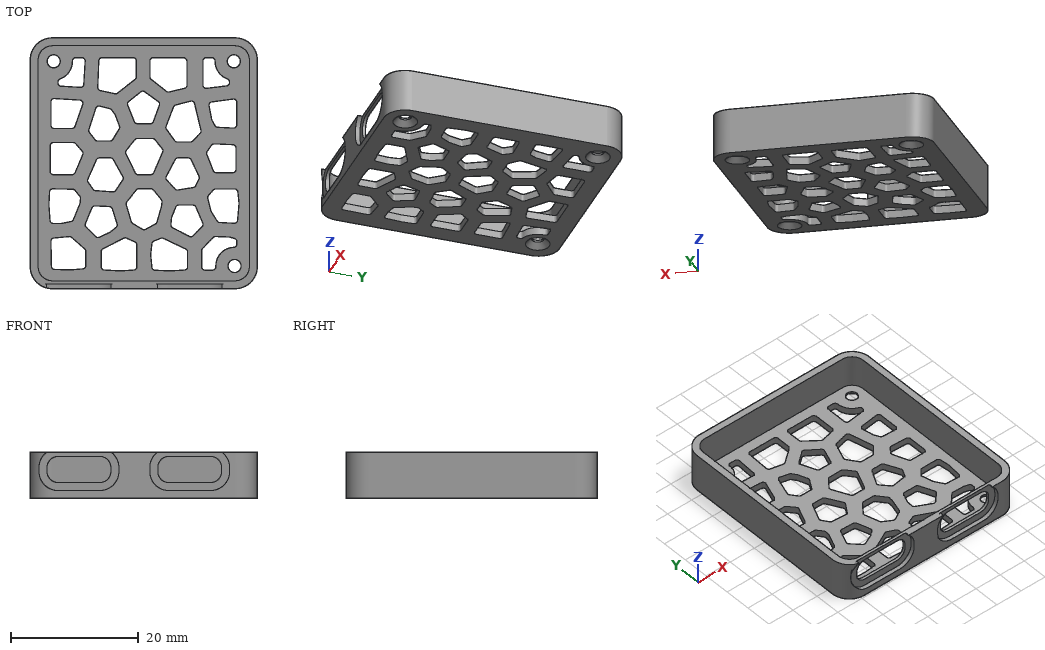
import cadquery as cq

WIDTH = 35.65
LENGTH = 39.4
HEIGHT = 7.25
WALL = 1.25
FLOOR = 1.25
CORNER_RADIUS = 3.5

SCREW_DIAMETER = 2.0
COUNTERSINK_DIAMETER = 3.85
COUNTERSINK_DEPTH = 0.95
SCREW_INSET = 3.7
FRONT_SCREW_INSET = 3.6
SCREW_CLEARANCE_RADIUS = 2.95
SCREW_CENTERS = [
    (-WIDTH / 2 + SCREW_INSET, LENGTH / 2 - SCREW_INSET),
    (WIDTH / 2 - SCREW_INSET, LENGTH / 2 - SCREW_INSET),
    (WIDTH / 2 - FRONT_SCREW_INSET, -LENGTH / 2 + FRONT_SCREW_INSET),
]

PORT_CENTERS_X = (-10.15, 7.2)
PORT_CENTER_Z = 4.55
SLOT_WIDTH = 10.0
SLOT_HEIGHT = 4.1
SLOT_RADIUS = 1.75
RECESS_MARGIN = 1.25
RECESS_DEPTH = 0.75

CELL_ROUNDING = 0.47
CELL_CORNERS = [
    [(-13.45, 16.55), (-9.18, 16.55), (-9.45, 11.9), (-13.45, 12.15)],
    [(-7.0, 16.55), (-1.2, 16.55), (-1.2, 13.3), (-4.3, 10.87), (-7.2, 11.5)],
    [(1.0, 16.55), (6.45, 16.55), (6.78, 16.1), (6.78, 11.85), (3.75, 11.15), (1.0, 13.3)],
    [(9.3, 16.55), (13.45, 16.55), (13.45, 12.2), (9.3, 11.7)],
    [(-14.55, 10.15), (-9.38, 9.85), (-10.9, 5.48), (-14.55, 5.48)],
    [
        (-7.35, 9.05), (-5.15, 8.5), (-4.5, 7.6), (-3.75, 5.6), (-5.0, 3.5),
        (-7.5, 3.5), (-8.65, 5.05),
    ],
    [(-0.15, 11.43), (2.55, 9.45), (1.38, 6.23), (-1.35, 6.23), (-2.65, 9.45)],
    [(4.75, 9.05), (7.85, 9.85), (9.02, 4.9), (7.53, 3.35), (5.0, 3.35), (3.43, 5.55)],
    [(10.15, 9.55), (14.58, 10.13), (14.58, 5.5), (11.3, 5.67), (10.68, 6.85)],
    [(-14.65, 3.25), (-10.85, 3.25), (-9.45, 1.65), (-10.9, -1.77), (-14.65, -1.77)],
    [(-1.25, 3.85), (1.6, 3.85), (3.07, 2.05), (1.4, -1.77), (-1.2, -1.77), (-2.9, 1.77)],
    [(10.8, 3.05), (14.45, 2.88), (14.45, -1.45), (11.05, -1.45), (9.8, 1.65)],
    [(-7.3, 0.83), (-4.92, 0.83), (-3.15, -2.35), (-4.57, -4.5), (-7.8, -4.25), (-8.85, -2.75)],
    [(5.1, 0.83), (7.3, 0.83), (8.75, -2.25), (8.05, -3.75), (5.1, -4.2), (3.4, -2.35)],
    [
        (-14.75, -4.0), (-10.9, -4.1), (-9.93, -5.3), (-10.0, -6.25), (-11.15, -9.05),
        (-12.85, -9.4), (-14.65, -9.4), (-14.85, -6.5),
    ],
    [
        (-1.02, -4.0), (1.38, -4.0), (2.88, -5.87), (2.75, -6.78), (2.0, -9.4),
        (0.05, -10.5), (-1.9, -9.35), (-2.8, -6.25),
    ],
    [
        (11.05, -4.05), (14.7, -4.05), (14.95, -6.25), (14.65, -9.4), (11.65, -9.25),
        (10.55, -7.53), (10.0, -5.25),
    ],
    [(-8.0, -6.7), (-5.05, -6.8), (-4.1, -9.85), (-5.28, -10.8), (-7.3, -11.75), (-9.25, -9.77)],
    [(5.15, -6.58), (8.05, -6.58), (9.38, -9.7), (7.5, -11.62), (4.25, -9.95), (4.37, -8.5)],
    [(-14.55, -11.8), (-11.45, -11.5), (-9.1, -13.6), (-9.1, -16.5), (-11.45, -16.7), (-14.45, -16.63)],
    [(-6.65, -13.55), (-2.9, -11.65), (-1.1, -12.5), (-1.1, -16.7), (-3.65, -16.85), (-6.65, -16.7)],
    [
        (1.35, -12.35), (2.88, -11.7), (6.85, -13.6), (6.85, -16.7), (4.15, -16.85),
        (1.35, -16.75), (1.1, -14.3),
    ],
    [(9.1, -13.5), (11.05, -11.5), (13.45, -11.6), (14.58, -11.9), (14.58, -16.75), (9.1, -16.75)],
]


def rounded_block(width, length, height, radius):
    """Upright block centered on the Z axis, standing on Z = 0."""
    return cq.Workplane("XY").rect(width, length).extrude(height).edges("|Z").fillet(radius)


def tray():
    """Open-topped box with concentric inner and outer corners."""
    outer = rounded_block(WIDTH, LENGTH, HEIGHT, CORNER_RADIUS)
    cavity = rounded_block(WIDTH - 2 * WALL, LENGTH - 2 * WALL, HEIGHT, CORNER_RADIUS - WALL)
    return outer.cut(cavity.translate((0, 0, FLOOR)))


def port_cutter(center_x, margin, depth):
    """Rounded slot grown by a margin and sunk into the -Y wall."""
    cutter = cq.Workplane("XY").box(SLOT_WIDTH + 2 * margin, 2 * depth, SLOT_HEIGHT + 2 * margin)
    cutter = cutter.edges("|Y").fillet(SLOT_RADIUS + margin)
    return cutter.translate((center_x, -LENGTH / 2, PORT_CENTER_Z))


def screw_cylinders(radius):
    """Cylinders through the floor at the screw positions."""
    return cq.Workplane("XY").pushPoints(SCREW_CENTERS).circle(radius).extrude(FLOOR)


def countersink_cutter(center):
    """Cone that widens the screw hole toward the underside."""
    cone = cq.Solid.makeCone(COUNTERSINK_DIAMETER / 2, SCREW_DIAMETER / 2, COUNTERSINK_DEPTH)
    return cq.Workplane(cone).translate((*center, 0))


def cell_cutter(corners, screw_clearance):
    """Floor cell trimmed around the screws, with its convex corners rounded."""
    trimmed = cq.Workplane("XY").polyline(corners).close().extrude(FLOOR).cut(screw_clearance)
    outline = trimmed.faces("<Z").wires().val()
    core = outline.offset2D(-CELL_ROUNDING)[0]
    rounded = core.offset2D(CELL_ROUNDING)[0]
    return cq.Workplane("XY").add(rounded).toPending().extrude(FLOOR)


result = tray()

for port_x in PORT_CENTERS_X:
    result = result.cut(port_cutter(port_x, 0, 2 * WALL))
    result = result.cut(port_cutter(port_x, RECESS_MARGIN, RECESS_DEPTH))

result = result.cut(screw_cylinders(SCREW_DIAMETER / 2))
for screw_center in SCREW_CENTERS:
    result = result.cut(countersink_cutter(screw_center))

clearance_cylinders = screw_cylinders(SCREW_CLEARANCE_RADIUS)
for cell_corners in CELL_CORNERS:
    result = result.cut(cell_cutter(cell_corners, clearance_cylinders))